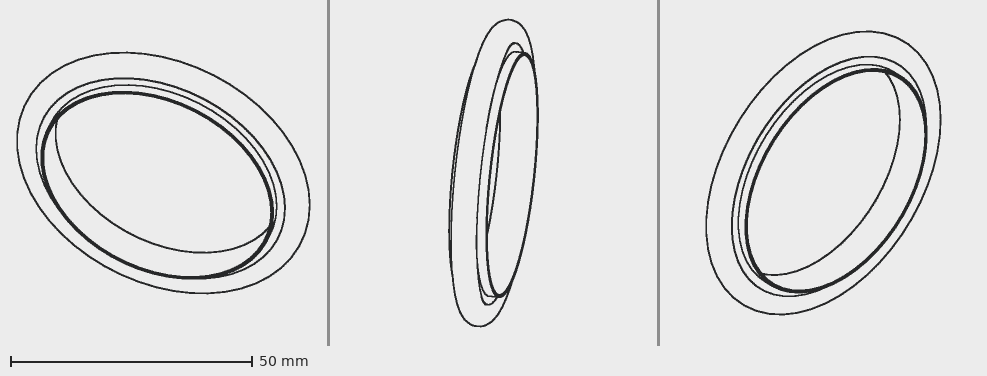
import cadquery as cq

seal_outer_diameter = 64.0
seal_section_diameter = 5.3
seal_section_radius = seal_section_diameter / 2
seal_center_radius = seal_outer_diameter / 2 - seal_section_radius

sleeve_outer_diameter = 51.0
sleeve_bore_diameter = 50.0
sleeve_length = 8.0
edge_chamfer = 0.1
flange_width = 3.6
flange_outer_radius = seal_center_radius - (seal_section_radius**2 - (flange_width / 2) ** 2) ** 0.5


def make_seal():
    """O-ring centered on the origin, with its axis along Y."""
    return (
        cq.Workplane("XY")
        .center(seal_center_radius, 0)
        .circle(seal_section_radius)
        .revolve(360, (-seal_center_radius, 0), (-seal_center_radius, 1))
    )


def make_centering_ring():
    """Sleeve and flange in one revolved profile, with a concave seat and chamfered edges."""
    bore_radius = sleeve_bore_diameter / 2
    sleeve_radius = sleeve_outer_diameter / 2
    half_length = sleeve_length / 2
    half_flange = flange_width / 2
    seat_bottom_radius = seal_center_radius - seal_section_radius
    ring = (
        cq.Workplane("XY")
        .moveTo(bore_radius, -half_length)
        .lineTo(sleeve_radius, -half_length)
        .lineTo(sleeve_radius, -half_flange)
        .lineTo(flange_outer_radius, -half_flange)
        .threePointArc((seat_bottom_radius, 0), (flange_outer_radius, half_flange))
        .lineTo(sleeve_radius, half_flange)
        .lineTo(sleeve_radius, half_length)
        .lineTo(bore_radius, half_length)
        .close()
        .revolve(360, (0, 0), (0, 1))
    )
    ring = ring.faces("<Y or >Y").edges().chamfer(edge_chamfer)
    return ring.faces("%TORUS").edges("%CIRCLE").edges("<Y or >Y").chamfer(edge_chamfer)


seal = make_seal()
centering_ring = make_centering_ring()

result = cq.Compound.makeCompound([seal.val(), centering_ring.val()])